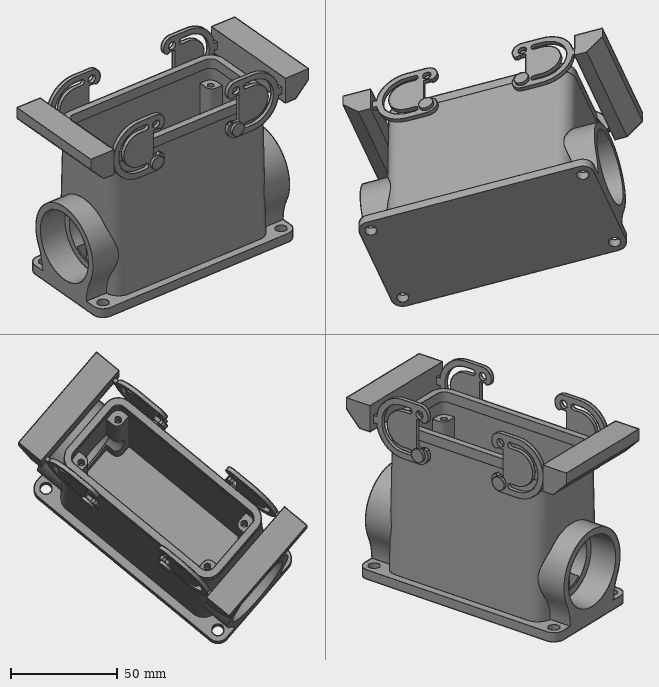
import cadquery as cq
import math


OVERLAP = 0.6

FLANGE_X = 56.2
FLANGE_Y = 117.0
FLANGE_Z = 4.9
FLANGE_RADIUS = 5.6
MOUNTING_HOLE_DIAMETER = 5.7

RIM_X = 43.0
SHELL_Y = 93.2
SHELL_TOP = 84.0
RIM_HEIGHT = 5.3
RIM_BASE = SHELL_TOP - RIM_HEIGHT
DRAFT_DEGREES = 2.0
SHELL_RADIUS = 7.6
WALL = 3.5
CAVITY_X = RIM_X - 2 * WALL
CAVITY_Y = SHELL_Y - 2 * WALL
FLOOR_Z = FLANGE_Z

POST_TOP = 72.1
POST_INNER_X = 10.0
POST_INNER_Y = 36.0
POST_RADIUS = 3.4
SCREW_X = 13.5
SCREW_Y = 38.8
SCREW_HOLE_DIAMETER = 3.1
SCREW_HOLE_DEPTH = 10.4

COLLAR_RADIUS = 22.0
COLLAR_Z = FLANGE_Z + COLLAR_RADIUS
COLLAR_FOOT_HALF_WIDTH = 17.0
COUNTERBORE_RADIUS = 18.5
COUNTERBORE_DEPTH = 14.5
BORE_RADIUS = 15.0

LEVER_TOP = 100.0
LEVER_HALF_HEIGHT = 15.5
LEVER_Z = LEVER_TOP - LEVER_HALF_HEIGHT
PLATE_INNER_X = 23.7
PLATE_THICKNESS = 2.1
PLATE_EDGE_REACH = 25.5
BEND_REACH = 33.5
SLOT_RADIUS = 10.9
SLOT_WIDTH = 3.1
SLOT_END_REACH = 29.8
PIN_REACH = 23.8
PIN_OFFSET = 10.5
PIN_RADIUS = 2.1
PIN_HEAD_RADIUS = 3.5
PIN_HEAD_THICKNESS = 1.7
HOOK_RADIUS = LEVER_HALF_HEIGHT - PIN_OFFSET
HOOK_ARC_END = (19.7, 7.5)
HOOK_TIP = (21.1, 6.7)
HOOK_ROOT = (22.7, 7.5)
HOOK_CORNER_RADIUS = 0.5
NECK_WIDTH = 4.0

GRIP_X = 57.0
GRIP_OUTER_REACH = 64.8
GRIP_INNER_REACH = 50.9
GRIP_CHAMFER_REACH = 57.0
GRIP_TOP = 92.6
GRIP_CHAMFER_Z = 86.6
GRIP_BOTTOM = RIM_BASE


def rounded_box(size_x, size_y, radius, bottom, top):
    box = cq.Workplane("XY").workplane(offset=bottom).rect(size_x, size_y).extrude(top - bottom)
    return box.edges("|Z").fillet(radius)


def drafted_shell():
    """Solid block up to the rim; its X sides lean inwards by the draft angle."""
    height = RIM_BASE - FLANGE_Z
    top_x = RIM_X / 2
    bottom_x = top_x + height * math.tan(math.radians(DRAFT_DEGREES))
    block = (
        cq.Workplane("XZ")
        .polyline(
            [(-bottom_x, FLANGE_Z), (bottom_x, FLANGE_Z), (top_x, RIM_BASE), (-top_x, RIM_BASE)]
        )
        .close()
        .extrude(SHELL_Y / 2, both=True)
    )
    upright_edges = block.edges("(not |X) and (not |Y)")
    return upright_edges.fillet(SHELL_RADIUS)


def cavity(bottom, top):
    return rounded_box(CAVITY_X, CAVITY_Y, SHELL_RADIUS - WALL, bottom, top)


def collars():
    """Round collars at both ends that flare concavely into a foot on the flange."""
    rise = COLLAR_Z - FLANGE_Z
    narrowing = COLLAR_RADIUS - COLLAR_FOOT_HALF_WIDTH
    flare_radius = (rise**2 / narrowing - COLLAR_RADIUS - COLLAR_FOOT_HALF_WIDTH) / 2
    touch_angle = math.asin(rise / (COLLAR_RADIUS + flare_radius))
    touch_x = COLLAR_RADIUS * math.cos(touch_angle)
    touch_z = COLLAR_Z - COLLAR_RADIUS * math.sin(touch_angle)
    flare_x = COLLAR_FOOT_HALF_WIDTH + flare_radius
    mid_x = flare_x - flare_radius * math.cos(touch_angle / 2)
    mid_z = FLANGE_Z + flare_radius * math.sin(touch_angle / 2)
    return (
        cq.Workplane("XZ")
        .moveTo(-COLLAR_FOOT_HALF_WIDTH, FLANGE_Z - OVERLAP)
        .lineTo(COLLAR_FOOT_HALF_WIDTH, FLANGE_Z - OVERLAP)
        .lineTo(COLLAR_FOOT_HALF_WIDTH, FLANGE_Z)
        .threePointArc((mid_x, mid_z), (touch_x, touch_z))
        .threePointArc((0, COLLAR_Z + COLLAR_RADIUS), (-touch_x, touch_z))
        .threePointArc((-mid_x, mid_z), (-COLLAR_FOOT_HALF_WIDTH, FLANGE_Z))
        .close()
        .extrude(FLANGE_Y / 2, both=True)
    )


def cylinder_along_y(radius, start_y, end_y):
    return (
        cq.Workplane("XZ", origin=(0, start_y, COLLAR_Z)).circle(radius).extrude(start_y - end_y)
    )


def corner_posts():
    """Four posts in the inner corners, reaching slightly into the walls and the floor."""
    bottom = FLOOR_Z - OVERLAP
    size_x = CAVITY_X / 2 + OVERLAP - POST_INNER_X
    size_y = CAVITY_Y / 2 + OVERLAP - POST_INNER_Y
    post = (
        cq.Workplane("XY", origin=(POST_INNER_X, POST_INNER_Y, bottom))
        .rect(size_x, size_y, centered=False)
        .extrude(POST_TOP - bottom)
        .edges("|Z and <X and <Y")
        .fillet(POST_RADIUS)
    )
    posts = post.union(post.mirror("YZ"))
    return posts.union(posts.mirror("XZ"))


def pivot_pins():
    """Headed pins that stand out from the X walls, two for each lever."""
    pin_z = LEVER_Z - PIN_OFFSET
    shaft_start = RIM_X / 2 - OVERLAP
    head_start = PLATE_INNER_X + PLATE_THICKNESS
    pin = cq.Workplane("YZ", origin=(shaft_start, PIN_REACH, pin_z)).circle(PIN_RADIUS)
    pin = pin.extrude(head_start - shaft_start)
    head = cq.Workplane("YZ", origin=(head_start, PIN_REACH, pin_z)).circle(PIN_HEAD_RADIUS)
    pin = pin.union(head.extrude(PIN_HEAD_THICKNESS))
    pins = pin.union(pin.mirror("YZ"))
    return pins.union(pins.mirror("XZ"))


def lever_plate():
    """The +X plate of the +Y lever: a D with hooked ends at top and bottom."""
    plane = cq.Workplane("YZ", origin=(PLATE_INNER_X, 0, LEVER_Z))
    hook_bottom = HOOK_ROOT[1]
    bend_middle = LEVER_HALF_HEIGHT * math.sqrt(0.5)
    upper_half = (
        plane.moveTo(PLATE_EDGE_REACH, 0)
        .lineTo(PLATE_EDGE_REACH, hook_bottom - HOOK_CORNER_RADIUS)
        .radiusArc((PLATE_EDGE_REACH - HOOK_CORNER_RADIUS, hook_bottom), -HOOK_CORNER_RADIUS)
        .lineTo(*HOOK_ROOT)
        .lineTo(*HOOK_TIP)
        .lineTo(*HOOK_ARC_END)
        .threePointArc((PIN_REACH - HOOK_RADIUS, PIN_OFFSET), (PIN_REACH, LEVER_HALF_HEIGHT))
        .lineTo(BEND_REACH, LEVER_HALF_HEIGHT)
        .threePointArc((BEND_REACH + bend_middle, bend_middle), (BEND_REACH + LEVER_HALF_HEIGHT, 0))
        .close()
        .extrude(PLATE_THICKNESS)
    )
    plate = upper_half.union(upper_half.mirror("XY", (0, 0, LEVER_Z)))

    neck_start = BEND_REACH + LEVER_HALF_HEIGHT - OVERLAP
    neck = plane.center((neck_start + GRIP_INNER_REACH) / 2, 0)
    neck = neck.rect(GRIP_INNER_REACH - neck_start, NECK_WIDTH).extrude(PLATE_THICKNESS)

    inner = SLOT_RADIUS - SLOT_WIDTH / 2
    outer = SLOT_RADIUS + SLOT_WIDTH / 2
    slot_tip = SLOT_END_REACH - SLOT_WIDTH / 2
    slot = (
        plane.moveTo(SLOT_END_REACH, outer)
        .lineTo(BEND_REACH, outer)
        .threePointArc((BEND_REACH + outer, 0), (BEND_REACH, -outer))
        .lineTo(SLOT_END_REACH, -outer)
        .threePointArc((slot_tip, -SLOT_RADIUS), (SLOT_END_REACH, -inner))
        .lineTo(BEND_REACH, -inner)
        .threePointArc((BEND_REACH + inner, 0), (BEND_REACH, inner))
        .lineTo(SLOT_END_REACH, inner)
        .threePointArc((slot_tip, SLOT_RADIUS), (SLOT_END_REACH, outer))
        .close()
        .extrude(PLATE_THICKNESS)
    )
    hook_hole = plane.center(PIN_REACH, PIN_OFFSET).circle(PIN_RADIUS).extrude(PLATE_THICKNESS)
    return plate.union(neck).cut(slot).cut(hook_hole)


def end_lever():
    """The +Y lever: a grip bar carried by two plates."""
    grip = (
        cq.Workplane("YZ")
        .moveTo(GRIP_INNER_REACH, GRIP_BOTTOM)
        .lineTo(GRIP_CHAMFER_REACH, GRIP_BOTTOM)
        .lineTo(GRIP_OUTER_REACH, GRIP_CHAMFER_Z)
        .lineTo(GRIP_OUTER_REACH, GRIP_TOP)
        .lineTo(GRIP_INNER_REACH, GRIP_TOP)
        .close()
        .extrude(GRIP_X / 2, both=True)
    )
    plate = lever_plate()
    return grip.union(plate).union(plate.mirror("YZ"))


def make_housing():
    flange = rounded_box(FLANGE_X, FLANGE_Y, FLANGE_RADIUS, 0, FLANGE_Z)
    flange = (
        flange.faces(">Z")
        .workplane()
        .rect(FLANGE_X - 2 * FLANGE_RADIUS, FLANGE_Y - 2 * FLANGE_RADIUS, forConstruction=True)
        .vertices()
        .hole(MOUNTING_HOLE_DIAMETER)
    )
    body = flange.union(drafted_shell()).union(collars())
    body = body.cut(cavity(FLOOR_Z, RIM_BASE)).union(corner_posts())

    end_y = FLANGE_Y / 2
    body = body.cut(cylinder_along_y(BORE_RADIUS, -end_y, end_y))
    for side in (-1, 1):
        ledge_y = side * (end_y - COUNTERBORE_DEPTH)
        body = body.cut(cylinder_along_y(COUNTERBORE_RADIUS, side * end_y, ledge_y))

    screw_holes = (
        cq.Workplane("XY", origin=(0, 0, POST_TOP))
        .rect(2 * SCREW_X, 2 * SCREW_Y, forConstruction=True)
        .vertices()
        .circle(SCREW_HOLE_DIAMETER / 2)
        .extrude(-SCREW_HOLE_DEPTH)
    )
    lever = end_lever()
    return body.cut(screw_holes).union(pivot_pins()).union(lever).union(lever.mirror("XZ"))


def make_rim_frame():
    """Straight-walled frame on top of the shell."""
    frame = rounded_box(RIM_X, SHELL_Y, SHELL_RADIUS, RIM_BASE, SHELL_TOP)
    return frame.cut(cavity(RIM_BASE, SHELL_TOP))


housing = make_housing()
rim_frame = make_rim_frame()

result = cq.Compound.makeCompound([housing.val(), rim_frame.val()])